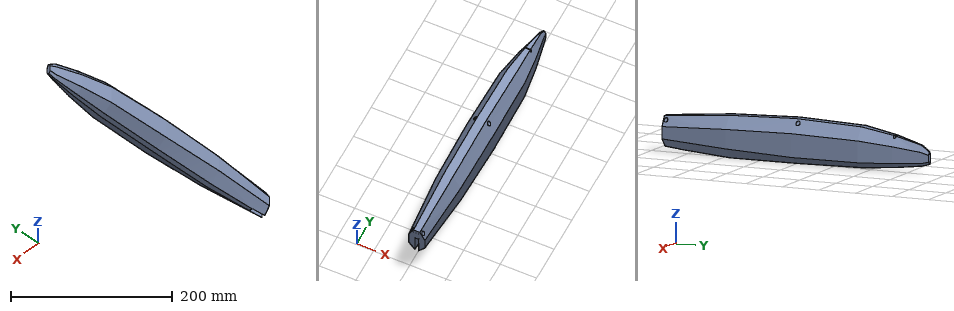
import cadquery as cq

LENGTH = 361.0
HALF_LENGTH = LENGTH / 2
QUARTER_LENGTH = LENGTH / 4

STATIONS = [
    (-HALF_LENGTH, 4.5, 11.2, 1.8, 46.2, 33.5, 18.0, 6.5),
    (-QUARTER_LENGTH, 6.0, 17.5, 3.5, 54.0, 38.3, 13.7, 0.0),
    (0.0, 6.0, 18.6, 3.5, 57.5, 40.5, 10.5, 0.5),
    (QUARTER_LENGTH, 6.0, 17.5, 3.5, 54.0, 38.3, 11.0, 2.0),
    (134.5, 3.5, 11.5, 2.5, 46.2, 33.5, 12.3, 5.8),
    (170.5, 1.0, 4.7, 1.0, 36.5, 28.0, 14.0, 10.0),
    (HALF_LENGTH, 0.7, 3.0, 0.7, 29.0, 25.0, 16.2, 13.0),
]
MAX_WIDTH = 2 * max(station[2] for station in STATIONS)

LINE_HOLE_DIAMETER = 5.0
NOSE_HOLE_DIAMETER = 3.0
CROSS_HOLES = [
    (-177.0, 41.5, LINE_HOLE_DIAMETER),
    (5.0, 52.5, LINE_HOLE_DIAMETER),
    (134.5, 44.8, NOSE_HOLE_DIAMETER),
]

SLOT_WIDTH = 5.0
SLOT_DEPTH = 21.5
SLOT_TOP = 31.0


def octagon(y, top_half, side_half, bottom_half, z_top, z_upper, z_lower, z_bottom):
    """Closed octagonal outline, symmetric about X = 0, in the plane at y."""
    right = [
        (bottom_half, z_bottom),
        (side_half, z_lower),
        (side_half, z_upper),
        (top_half, z_top),
    ]
    left = [(-x, z) for x, z in reversed(right)]
    corners = [cq.Vector(x, y, z) for x, z in right + left]
    return cq.Wire.makePolygon(corners, close=True)


def hull():
    outlines = [octagon(*station) for station in STATIONS]
    return cq.Workplane(obj=cq.Solid.makeLoft(outlines, True))


def cross_hole(y, z, diameter):
    start = cq.Vector(-MAX_WIDTH / 2, y, z)
    along_x = cq.Vector(1, 0, 0)
    return cq.Workplane(obj=cq.Solid.makeCylinder(diameter / 2, MAX_WIDTH, start, along_x))


def tail_slot():
    half_width = SLOT_WIDTH / 2
    y_end = SLOT_DEPTH - HALF_LENGTH
    y_round = y_end - half_width
    return (
        cq.Workplane("XY")
        .moveTo(-half_width, -HALF_LENGTH)
        .lineTo(half_width, -HALF_LENGTH)
        .lineTo(half_width, y_round)
        .threePointArc((0, y_end), (-half_width, y_round))
        .close()
        .extrude(SLOT_TOP)
    )


result = hull().cut(tail_slot())
for hole in CROSS_HOLES:
    result = result.cut(cross_hole(*hole))